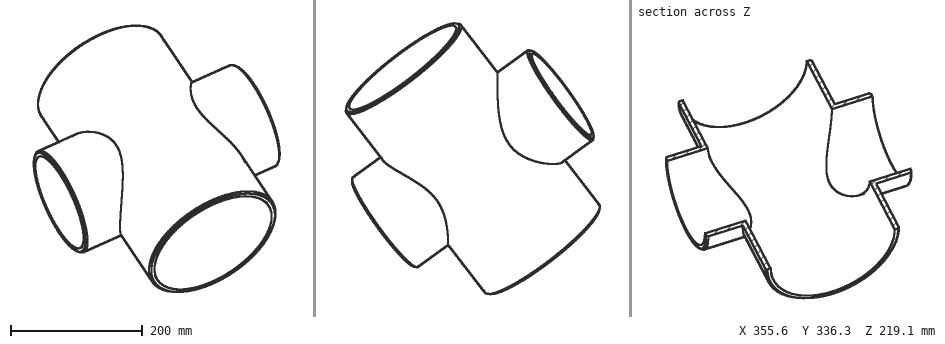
import cadquery as cq

RUN_LENGTH = 355.6
RUN_OUTER_DIAMETER = 219.075
BRANCH_LENGTH = 336.3
BRANCH_OUTER_DIAMETER = 168.275

WALL = 8.18
END_BEVEL = 2.5


def centred_cylinder(plane, diameter, length):
    """Cylinder centred on the origin, its axis normal to the plane."""
    return cq.Workplane(plane).circle(diameter / 2).extrude(length / 2, both=True)


def pipe_body(plane, outer_diameter, length):
    """Outside of a pipe as a solid cylinder with bevelled ends."""
    cylinder = centred_cylinder(plane, outer_diameter, length)
    return cylinder.edges("%CIRCLE").chamfer(END_BEVEL)


def pipe_bore(plane, outer_diameter, length):
    """Inside of a pipe, open from end to end."""
    return centred_cylinder(plane, outer_diameter - 2 * WALL, length)


run = ("YZ", RUN_OUTER_DIAMETER, RUN_LENGTH)
branch = ("XZ", BRANCH_OUTER_DIAMETER, BRANCH_LENGTH)

joined_bodies = pipe_body(*run).union(pipe_body(*branch))
result = joined_bodies.cut(pipe_bore(*run)).cut(pipe_bore(*branch))